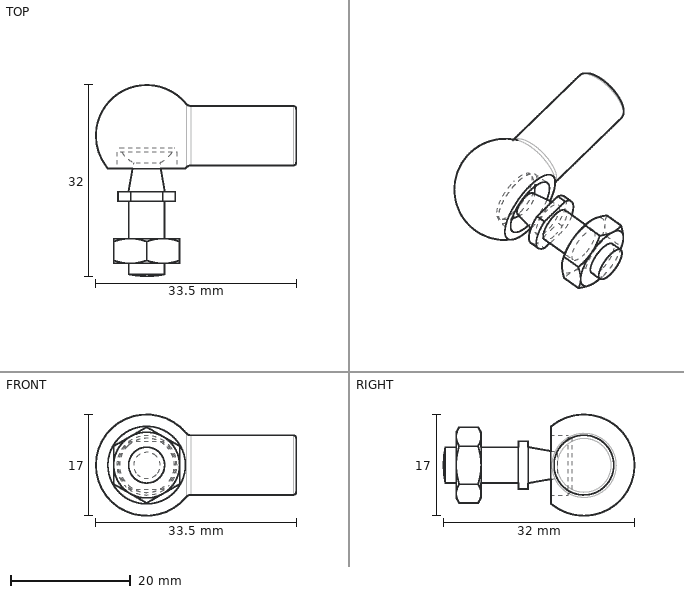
import cadquery as cq
import math


housing_radius = 8.5
housing_face_y = -5.5
shank_radius = 5.0
shank_end_x = 25.0
shank_end_round = 0.5
shank_root_fillet = 1.0

mouth_radius = 5.0
ring_wire_radius = 0.5
ring_y = -2.2

ball_radius = 5.0
neck_ball_radius = 2.2
neck_collar_radius = 3.05
stud_radius = 3.0
collar_radius = 4.8
collar_across_flats = 8.0
collar_start_y = -9.32
collar_end_y = -10.95
stud_rim_y = -23.17
stud_tip_y = -23.49

nut_sides = 6
nut_across_flats = 11.0
nut_start_y = -17.18
nut_end_y = -21.33
nut_chamfer_angle = 30.0


def rod(radius, start_y, end_y):
    """Cylinder about the Y axis, running towards -Y from start_y to end_y."""
    length = start_y - end_y
    return cq.Workplane("XZ", origin=(0, start_y, 0)).circle(radius).extrude(length)


def make_housing():
    """Sphere and round shank, joined by a tangent fillet and cut flat at the mouth."""
    fillet_x = math.sqrt((housing_radius + shank_root_fillet) ** 2 - (shank_radius + shank_root_fillet) ** 2)
    fillet_y = shank_radius + shank_root_fillet
    sphere_share = housing_radius / (housing_radius + shank_root_fillet)
    tangent_x = fillet_x * sphere_share
    tangent_y = fillet_y * sphere_share

    to_sphere = math.atan2(-fillet_y, -fillet_x)
    to_shank = -math.pi / 2
    middle = (to_sphere + to_shank) / 2
    fillet_middle = (
        fillet_x + shank_root_fillet * math.cos(middle),
        fillet_y + shank_root_fillet * math.sin(middle),
    )

    round_start_x = shank_end_x - shank_end_round
    end_face_radius = shank_radius - shank_end_round
    half_profile = (
        cq.Workplane("XY")
        .moveTo(-housing_radius, 0)
        .threePointArc((0, housing_radius), (tangent_x, tangent_y))
        .threePointArc(fillet_middle, (fillet_x, shank_radius))
        .lineTo(round_start_x, shank_radius)
        .radiusArc((shank_end_x, end_face_radius), shank_end_round)
        .lineTo(shank_end_x, 0)
        .close()
    )
    body = half_profile.revolve(360, (0, 0, 0), (1, 0, 0))
    beyond_face = rod(housing_radius, housing_face_y, -housing_radius)
    return body.cut(beyond_face)


def make_socket():
    """Cylindrical mouth that narrows over a round retaining ring until it touches the ball."""
    centre_distance = ball_radius + ring_wire_radius
    ring_radius = math.sqrt(centre_distance ** 2 - ring_y ** 2)
    contact_radius = ring_radius * ball_radius / centre_distance
    contact_y = ring_y * ball_radius / centre_distance
    ring_edge_y = ring_y - math.sqrt(ring_wire_radius ** 2 - (ring_radius - mouth_radius) ** 2)
    half_profile = (
        cq.Workplane("XY")
        .moveTo(0, housing_face_y)
        .lineTo(mouth_radius, housing_face_y)
        .lineTo(mouth_radius, ring_edge_y)
        .radiusArc((contact_radius, contact_y), ring_wire_radius)
        .lineTo(0, contact_y)
        .close()
    )
    return half_profile.revolve(360, (0, 0, 0), (0, 1, 0))


def make_stud():
    """Ball, tapered neck and plain pin with a domed tip, turned about the Y axis."""
    neck_ball_y = -math.sqrt(ball_radius ** 2 - neck_ball_radius ** 2)
    dome_height = stud_rim_y - stud_tip_y
    dome_radius = (stud_radius ** 2 + dome_height ** 2) / (2 * dome_height)
    half_profile = (
        cq.Workplane("XY")
        .moveTo(0, ball_radius)
        .threePointArc((ball_radius, 0), (neck_ball_radius, neck_ball_y))
        .lineTo(neck_collar_radius, collar_start_y)
        .lineTo(stud_radius, collar_start_y)
        .lineTo(stud_radius, stud_rim_y)
        .radiusArc((0, stud_tip_y), dome_radius)
        .close()
    )
    return half_profile.revolve(360, (0, 0, 0), (0, 1, 0))


def make_collar():
    """Round collar with two wrench flats facing +Z and -Z."""
    collar = rod(collar_radius, collar_start_y, collar_end_y)
    flats = cq.Workplane("XY").box(2 * collar_radius, 2 * abs(collar_end_y), collar_across_flats)
    return collar.intersect(flats)


def make_nut():
    """Hex nut with corners on the Z axis and both faces chamfered down to the flats."""
    flat_radius = nut_across_flats / 2
    corner_radius = flat_radius / math.cos(math.pi / nut_sides)
    chamfer_drop = (corner_radius - flat_radius) * math.tan(math.radians(nut_chamfer_angle))
    hexagon = (
        cq.Workplane("XZ", origin=(0, nut_start_y, 0))
        .transformed(rotate=(0, 0, 90))
        .polygon(nut_sides, 2 * corner_radius)
        .extrude(nut_start_y - nut_end_y)
    )
    envelope = (
        cq.Workplane("XY")
        .polyline([
            (0, nut_start_y),
            (flat_radius, nut_start_y),
            (corner_radius, nut_start_y - chamfer_drop),
            (corner_radius, nut_end_y + chamfer_drop),
            (flat_radius, nut_end_y),
            (0, nut_end_y),
        ])
        .close()
        .revolve(360, (0, 0, 0), (0, 1, 0))
    )
    return hexagon.intersect(envelope)


housing = make_housing().cut(make_socket())
stud = make_stud().union(make_collar()).union(make_nut())
result = housing.union(stud)